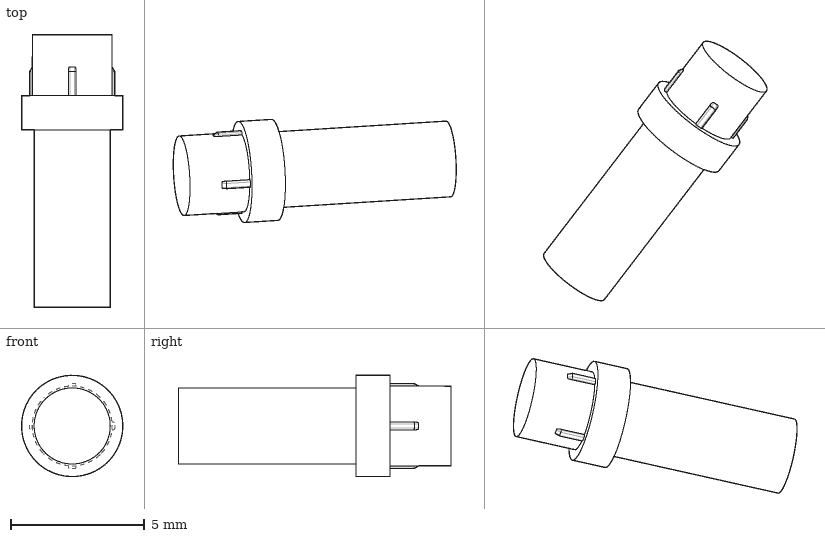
import cadquery as cq

total_length = 10.24
shank_diameter = 2.86
shank_length = 6.67
flange_diameter = 3.81
flange_thickness = 1.28
head_diameter = 3.0
head_length = total_length - shank_length - flange_thickness

rib_count = 4
rib_tip_diameter = 3.2
rib_width = 0.29
rib_length = 1.08
rib_ramp_length = 0.16
rib_edge_radius = 0.06
rib_root_depth = 0.1

shank_start = -total_length / 2
flange_start = shank_start + shank_length
head_start = flange_start + flange_thickness


def cylinder_along_y(diameter, length, start):
    """Solid cylinder on the Y axis, from start toward +Y."""
    axis_plane = cq.Workplane("XZ", origin=(0, start, 0))
    return axis_plane.circle(diameter / 2).extrude(-length)


def crush_rib():
    """Rib on the +Z side with a sloped free end and rounded outer edges."""
    head_radius = head_diameter / 2
    tip_radius = rib_tip_diameter / 2
    root_radius = head_radius - rib_root_depth
    rib_end = head_start + rib_length
    ramp_start = rib_end - rib_ramp_length
    profile = [
        (head_start, root_radius),
        (head_start, tip_radius),
        (ramp_start, tip_radius),
        (rib_end, head_radius),
        (rib_end, root_radius),
    ]
    rib = cq.Workplane("YZ").polyline(profile).close().extrude(rib_width / 2, both=True)
    top_edges = rib.faces(">Z").edges("|Y")
    slope_edges = rib.edges("not(|X or |Y or |Z)")
    return top_edges.add(slope_edges).fillet(rib_edge_radius)


shank = cylinder_along_y(shank_diameter, shank_length, shank_start)
flange = cylinder_along_y(flange_diameter, flange_thickness, flange_start)
head = cylinder_along_y(head_diameter, head_length, head_start)
result = shank.union(flange).union(head)

rib = crush_rib()
for index in range(rib_count):
    angle = index * 360 / rib_count
    result = result.union(rib.rotate((0, 0, 0), (0, 1, 0), angle))